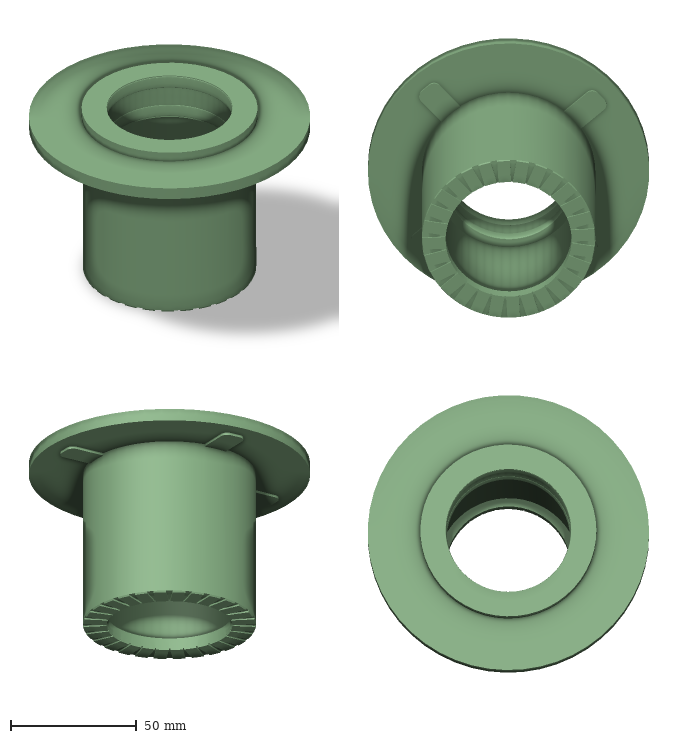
import cadquery as cq

total_height = 74.0

flange_diameter = 112.0
flange_thickness = 4.9
sleeve_diameter = 69.0
sleeve_bore_diameter = 56.8
end_lip_bore_diameter = 50.0
end_lip_thickness = 5.0

pad_count = 4
pad_width = 10.0
pad_reach = 49.5
pad_corner_radius = 3.0
pad_height = 1.0

rim_bottom_diameter = 68.4
tooth_count = 28
tooth_width = 5.0
tooth_height = 0.7

collar_diameter = 70.0
collar_height = 4.0
bush_bore_diameter = 50.0
bush_end_lip = 0.5

seal_count = 2
seal_outer_diameter = 53.8
seal_width = 5.2
seal_pitch = 13.1
seal_bulge = 0.5

flange_top = total_height - collar_height
flange_bottom = flange_top - flange_thickness
seal_tops = [total_height - bush_end_lip - i * seal_pitch for i in range(seal_count)]
bush_bottom = seal_tops[-1] - seal_width - bush_end_lip


def disc(diameter, bottom, top):
    """Solid cylinder on the Z axis between two levels."""
    return cq.Workplane("XY").workplane(offset=bottom).circle(diameter / 2).extrude(top - bottom)


def turn(body, index, count):
    """Body turned about Z to place number `index` of `count` equal steps."""
    return body.rotate((0, 0, 0), (0, 0, 1), index * 360 / count)


def radial_bar(length, width, bottom, height):
    """Rectangular bar that runs from the Z axis along +X."""
    return (
        cq.Workplane("XY")
        .workplane(offset=bottom)
        .center(length / 2, 0)
        .rect(length, width)
        .extrude(height)
    )


def flange_pads():
    """Pads with rounded outer corners; their inner ends run into the sleeve."""
    pad = radial_bar(pad_reach, pad_width, flange_bottom - pad_height, pad_height)
    pad = pad.edges("|Z and >X").fillet(pad_corner_radius)
    return [turn(pad, i, pad_count) for i in range(pad_count)]


def toothed_rim():
    """Rim that widens upward, reduced to evenly spaced radial teeth."""
    rim = (
        cq.Workplane("XY")
        .circle(rim_bottom_diameter / 2)
        .workplane(offset=tooth_height)
        .circle(sleeve_diameter / 2)
        .loft()
    )
    tooth = radial_bar(sleeve_diameter, tooth_width, 0, tooth_height)
    teeth = tooth
    for i in range(1, tooth_count):
        teeth = teeth.union(turn(tooth, i, tooth_count))
    return rim.intersect(teeth)


def make_housing():
    """Sleeve with a flange, pads under the flange, an inner lip and a toothed lower end."""
    housing = disc(sleeve_diameter, tooth_height, flange_top)
    housing = housing.union(disc(flange_diameter, flange_bottom, flange_top))
    for pad in flange_pads():
        housing = housing.union(pad)
    housing = housing.union(toothed_rim())
    housing = housing.cut(disc(sleeve_bore_diameter, end_lip_thickness, flange_top))
    return housing.cut(disc(end_lip_bore_diameter, 0, end_lip_thickness))


def make_bush():
    """Collared bush with one inner groove for each seal ring."""
    bush = disc(sleeve_bore_diameter, bush_bottom, flange_top)
    bush = bush.union(disc(collar_diameter, flange_top, total_height))
    bush = bush.cut(disc(bush_bore_diameter, bush_bottom, total_height))
    for top in seal_tops:
        bush = bush.cut(disc(seal_outer_diameter, top - seal_width, top))
    return bush


def make_seal(top):
    """Ring that fills its groove and bulges into the bore with a half-elliptic face."""
    bottom = top - seal_width
    outer_radius = seal_outer_diameter / 2
    bore_radius = bush_bore_diameter / 2
    return (
        cq.Workplane("XZ")
        .moveTo(outer_radius, top)
        .lineTo(bore_radius, top)
        .ellipseArc(seal_bulge, seal_width / 2, 90, 270, startAtCurrent=True)
        .lineTo(outer_radius, bottom)
        .close()
        .revolve(360, (0, 0, 0), (0, 1, 0))
    )


housing = make_housing()
bush = make_bush()
seals = [make_seal(top) for top in seal_tops]

result = cq.Compound.makeCompound([housing.val(), bush.val(), *[seal.val() for seal in seals]])